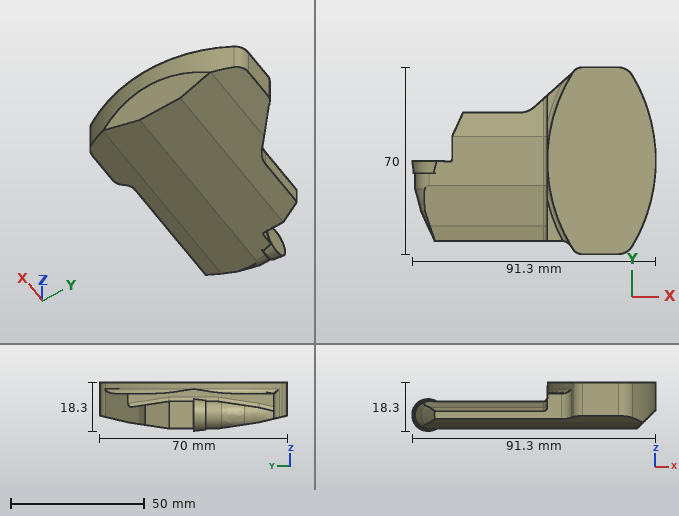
import cadquery as cq
import math


insert_radius = 6.0
insert_back_radius = 5.5
insert_depth = 4.7

half_thickness = 5.1
flat_half_width = 9.1
slope_break_y = 24.3
slope_break_drop = 2.3
head_half_width = 70.0 / 2
head_edge_drop = 4.8

overall_length = 91.3
overall_height = 18.3
left_x = -insert_radius
right_x = left_x + overall_length
bottom_z = -half_thickness
top_z = overall_height - insert_radius
step_x = left_x + 50.7
step_fillet = 1.6
shelf_z = top_z - 4.2
shelf_fillet = 1.7
end_chamfer = 7.1

oval_radius = 62.1
oval_front_corner = 4.1
oval_rear_corner = 6.1
oval_front_centre_x = step_x + oval_radius
oval_rear_centre_x = right_x - oval_radius

seat_y = -0.3
blade_low_y = -30.0
blade_high_y = 18.1
notch_x = left_x + 15.0
notch_fillet = 0.8
chamfer_x = left_x + 19.1
neck_x = left_x + 43.5
neck_end = (left_x + 60.8, 33.6)
neck_fillet = 8.2
low_side_fillet = 4.4

nose_sections = [(0.0, 0.2), (10.4, 0.2), (19.0, 2.5), (-blade_low_y, 7.5)]

overlap = 9.1
sketch_reach = 273.9
edge_margin = 0.9


def upright(radius, centre_x):
    """Upright cylinder taller than the holder."""
    height = top_z - bottom_z
    return cq.Workplane("XY", origin=(centre_x, 0, bottom_z)).circle(radius).extrude(height)


def make_oval():
    """Two large arcs cut by two flat sides, with rounded corners."""
    slab = cq.Workplane("XY").box(sketch_reach, 2 * head_half_width, sketch_reach)
    oval = upright(oval_radius, oval_front_centre_x).intersect(upright(oval_radius, oval_rear_centre_x))
    oval = oval.intersect(slab)
    oval = oval.edges("|Z").edges("<X").fillet(oval_front_corner)
    return oval.edges("|Z").edges(">X").fillet(oval_rear_corner)


def make_blade_outline():
    """Blade block with the insert notch and the widening neck, reaching into the head."""
    root_x = (step_x + right_x) / 2
    points = [
        (left_x, blade_low_y),
        (root_x, blade_low_y),
        (root_x, neck_end[1]),
        neck_end,
        (neck_x, blade_high_y),
        (chamfer_x, blade_high_y),
        (notch_x, flat_half_width),
        (notch_x, seat_y),
        (left_x, seat_y),
    ]
    blade = cq.Workplane("XY", origin=(0, 0, bottom_z)).polyline(points).close().extrude(top_z - bottom_z)
    blade = blade.edges(cq.selectors.NearestToPointSelector((neck_x, blade_high_y, 0))).fillet(neck_fillet)
    return blade.edges(cq.selectors.NearestToPointSelector((notch_x, seat_y, 0))).fillet(notch_fillet)


def face_points(side):
    """Points (y, z) along the upper (side = 1) or lower (side = -1) face."""
    heights = [
        (flat_half_width, half_thickness),
        (slope_break_y, half_thickness - slope_break_drop),
        (head_half_width, half_thickness - head_edge_drop),
    ]
    left = [(-y, side * z) for y, z in reversed(heights)]
    right = [(y, side * z) for y, z in heights]
    return left + right


def extrude_section(points, start_x, end_x):
    """Extrude a closed (y, z) outline along X."""
    return cq.Workplane("YZ", origin=(start_x, 0, 0)).polyline(points).close().extrude(end_x - start_x)


def make_section():
    """Full-length block with the stepped underside and a flat top."""
    points = face_points(-1) + [(head_half_width, top_z), (-head_half_width, top_z)]
    return extrude_section(points, left_x, right_x)


def make_step_cutter():
    """Space above the blade; its rounded lower edge forms the fillet at the wall."""
    roof_z = top_z + overlap
    points = face_points(1) + [(head_half_width, roof_z), (-head_half_width, roof_z)]
    cutter = extrude_section(points, left_x - overlap, step_x)
    wall_bottom = cq.selectors.BoxSelector(
        (step_x - edge_margin, edge_margin - head_half_width, -edge_margin),
        (step_x + edge_margin, head_half_width - edge_margin, half_thickness + edge_margin),
    )
    return cutter.edges(wall_bottom).fillet(step_fillet)


def make_shelf_cutter():
    """Space above the ledge, in front of the oval's front arc."""
    height = top_z - shelf_z + overlap
    block = (
        cq.Workplane("XY", origin=(left_x, 0, shelf_z))
        .rect(2 * (oval_front_centre_x - left_x), 3 * oval_radius)
        .extrude(height)
    )
    arc = cq.Workplane("XY", origin=(oval_front_centre_x, 0, shelf_z)).circle(oval_radius).extrude(height)
    cutter = block.cut(arc)
    return cutter.faces("<Z").edges("%CIRCLE").fillet(shelf_fillet)


def make_chamfer_cutter():
    """Sloping cut under the rear end."""
    return (
        cq.Workplane("XZ", origin=(0, -head_half_width - overlap, 0))
        .moveTo(right_x - end_chamfer, bottom_z)
        .lineTo(right_x, bottom_z + end_chamfer)
        .lineTo(right_x, bottom_z)
        .close()
        .extrude(-2 * (head_half_width + overlap))
    )


def nose_wire(distance, shift):
    """Half-round section of the nose, open-ended towards the blade."""
    back_x = notch_x + overlap
    return (
        cq.Workplane("XZ", origin=(0, -distance, 0))
        .moveTo(back_x, -half_thickness)
        .lineTo(shift, -half_thickness)
        .threePointArc((shift - half_thickness, 0), (shift, half_thickness))
        .lineTo(back_x, half_thickness)
        .close()
        .val()
    )


def make_nose_cutter():
    """What lies outside the rounded nose, at the free end of the blade."""
    length = notch_x + overlap - (left_x - overlap)
    cutter = cq.Workplane("XY").box(length, -blade_low_y, 2 * half_thickness, centered=False)
    cutter = cutter.translate((left_x - overlap, blade_low_y, -half_thickness))
    for start, end in zip(nose_sections, nose_sections[1:]):
        piece = cq.Solid.makeLoft([nose_wire(*start), nose_wire(*end)], True)
        cutter = cutter.cut(cq.Workplane(piece))
    return cutter


def make_insert():
    """Round insert tapering towards its back."""
    return cq.Workplane(
        cq.Solid.makeCone(
            insert_radius, insert_back_radius, insert_depth, cq.Vector(0, 0, 0), cq.Vector(0, -1, 0)
        )
    )


def make_holder(insert):
    """Blade and oval head in one piece, with a seat for the insert."""
    holder = make_oval().union(make_blade_outline())
    join_x = oval_front_centre_x - math.sqrt(oval_radius**2 - blade_low_y**2)
    join = cq.selectors.NearestToPointSelector((join_x, blade_low_y, (top_z + bottom_z) / 2))
    holder = holder.edges("|Z").edges(join).fillet(low_side_fillet)
    holder = holder.intersect(make_section())
    holder = holder.cut(make_step_cutter()).cut(make_shelf_cutter())
    holder = holder.cut(make_chamfer_cutter()).cut(make_nose_cutter())
    return holder.cut(insert)


insert = make_insert()
holder = make_holder(insert)
result = cq.Compound.makeCompound([*holder.vals(), insert.val()])